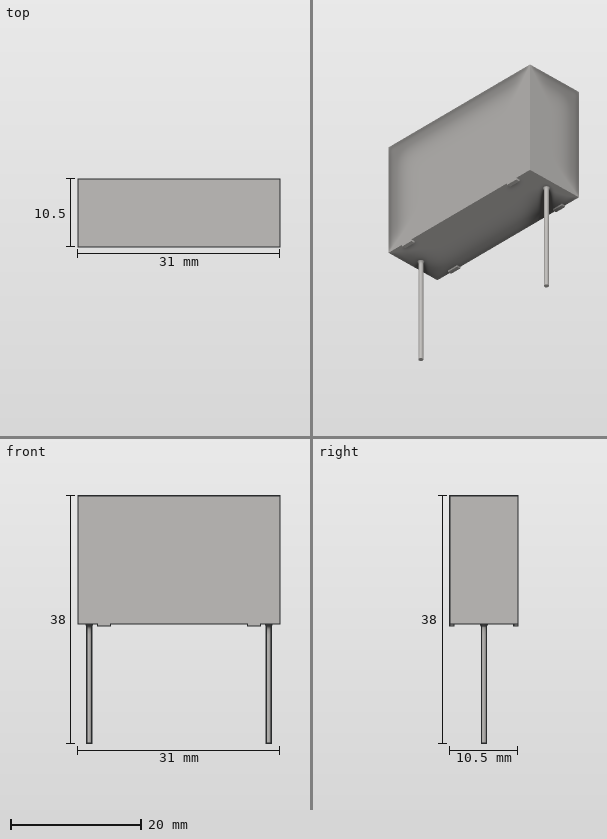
import cadquery as cq

body_length = 31.0
body_width = 10.5
total_height = 38.0

standing_height = 20.03
foot_height = 0.3
foot_length = 2.0
foot_width = 0.7
foot_end_gap = 3.0

lead_diameter = 0.8
lead_pitch = 27.5
collar_diameter = 1.1
collar_height = foot_height

foot_bottom = total_height - standing_height
body_bottom = foot_bottom + foot_height
body_height = total_height - body_bottom


def make_body():
    return (
        cq.Workplane("XY")
        .workplane(offset=body_bottom)
        .rect(body_length, body_width)
        .extrude(body_height)
    )


def make_feet():
    """Four low feet, flush with the long sides of the body."""
    foot_spacing_x = body_length - 2 * foot_end_gap - foot_length
    foot_spacing_y = body_width - foot_width
    return (
        cq.Workplane("XY")
        .workplane(offset=foot_bottom)
        .rarray(foot_spacing_x, foot_spacing_y, 2, 2)
        .rect(foot_length, foot_width)
        .extrude(foot_height)
    )


def make_lead(x):
    """Round lead at the given X, widening through its collar into the body."""
    lead_radius = lead_diameter / 2
    collar_radius = collar_diameter / 2
    half_profile = (
        cq.Workplane("XZ")
        .moveTo(0, 0)
        .lineTo(lead_radius, 0)
        .lineTo(lead_radius, body_bottom - collar_height)
        .lineTo(collar_radius, body_bottom)
        .lineTo(0, body_bottom)
        .close()
    )
    return half_profile.revolve(360, (0, 0), (0, 1)).translate((x, 0, 0))


result = make_body().union(make_feet())
for side in (-1, 1):
    result = result.union(make_lead(side * lead_pitch / 2))